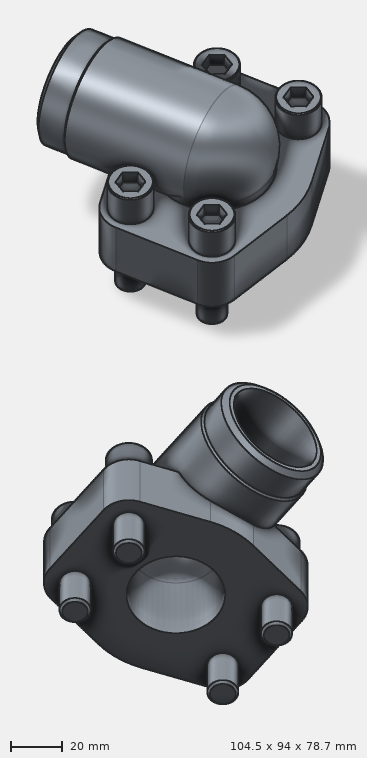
import cadquery as cq
import math


overall_length = 104.5
overall_height = 78.7

flange_length = 77.0
flange_thickness = 25.0
corner_radius = 12.0
screw_spacing_x = 35.7
screw_spacing_y = 70.0
screw_x = screw_spacing_x / 2
screw_y = screw_spacing_y / 2
nose_radius = flange_length / 2

pipe_diameter = 50.3
spigot_diameter = 48.3
spigot_length = 13.2
shoulder_length = 0.8
weld_face_diameter = 43.2
weld_bevel_length = 2.0
neck_diameter = 48.3
pipe_bore_diameter = 39.3
neck_bore_diameter = 38.0
pipe_axis_height = 36.0
pipe_radius = pipe_diameter / 2
spigot_radius = spigot_diameter / 2
pipe_end_x = nose_radius - overall_length

head_diameter = 18.0
head_height = 14.5
head_chamfer_height = 0.6
head_chamfer_width = 0.4
shank_diameter = 12.0
shank_chamfer = 1.0
socket_across_flats = 10.0
socket_depth = 6.0
socket_across_corners = socket_across_flats / math.cos(math.radians(30))
screw_bottom = pipe_axis_height + pipe_radius - overall_height
screw_top = flange_thickness + head_height


def make_flange():
    centre_distance = math.hypot(screw_x, screw_y)
    centre_angle = math.atan2(screw_y, screw_x)
    normal_angle = centre_angle - math.acos((nose_radius - corner_radius) / centre_distance)
    corner_mid_angle = (normal_angle + math.pi / 2) / 2

    def on_corner(angle, side_x, side_y):
        x = screw_x + corner_radius * math.cos(angle)
        y = screw_y + corner_radius * math.sin(angle)
        return side_x * x, side_y * y

    def on_nose(side_x, side_y):
        x = nose_radius * math.cos(normal_angle)
        y = nose_radius * math.sin(normal_angle)
        return side_x * x, side_y * y

    outline = cq.Workplane("XY").moveTo(*on_nose(1, -1))
    for side in (1, -1):
        outline = (
            outline.threePointArc((side * nose_radius, 0), on_nose(side, side))
            .lineTo(*on_corner(normal_angle, side, side))
            .threePointArc(
                on_corner(corner_mid_angle, side, side),
                on_corner(math.pi / 2, side, side),
            )
            .lineTo(*on_corner(math.pi / 2, -side, side))
            .threePointArc(
                on_corner(corner_mid_angle, -side, side),
                on_corner(normal_angle, -side, side),
            )
            .lineTo(*on_nose(-side, side))
        )
    return outline.close().extrude(flange_thickness)


def make_pipe():
    spigot_end_x = pipe_end_x + spigot_length
    quarter = pipe_radius * math.sqrt(0.5)
    profile = (
        cq.Workplane("XZ")
        .moveTo(pipe_end_x, 0)
        .lineTo(pipe_end_x, weld_face_diameter / 2)
        .lineTo(pipe_end_x + weld_bevel_length, spigot_radius)
        .lineTo(spigot_end_x, spigot_radius)
        .lineTo(spigot_end_x + shoulder_length, pipe_radius)
        .lineTo(0, pipe_radius)
        .threePointArc((quarter, quarter), (pipe_radius, 0))
        .close()
    )
    pipe = profile.revolve(360, (0, 0, 0), (1, 0, 0))
    return pipe.translate((0, 0, pipe_axis_height))


def make_neck():
    return cq.Workplane("XY").circle(neck_diameter / 2).extrude(pipe_axis_height)


def make_passage():
    horizontal = (
        cq.Workplane("YZ", origin=(pipe_end_x, 0, pipe_axis_height))
        .circle(pipe_bore_diameter / 2)
        .extrude(-pipe_end_x)
    )
    bend = cq.Workplane("XY").sphere(pipe_bore_diameter / 2).translate((0, 0, pipe_axis_height))
    vertical = cq.Workplane("XY").circle(neck_bore_diameter / 2).extrude(pipe_axis_height)
    return horizontal.union(bend).union(vertical)


def make_screw():
    head_radius = head_diameter / 2
    shank_radius = shank_diameter / 2
    profile = (
        cq.Workplane("XZ")
        .moveTo(0, screw_bottom)
        .lineTo(shank_radius - shank_chamfer, screw_bottom)
        .lineTo(shank_radius, screw_bottom + shank_chamfer)
        .lineTo(shank_radius, flange_thickness)
        .lineTo(head_radius, flange_thickness)
        .lineTo(head_radius, screw_top - head_chamfer_height)
        .lineTo(head_radius - head_chamfer_width, screw_top)
        .lineTo(0, screw_top)
        .close()
    )
    screw = profile.revolve(360, (0, 0, 0), (0, 1, 0))
    socket = (
        cq.Workplane("XY", origin=(0, 0, screw_top))
        .transformed(rotate=(0, 0, 90))
        .polygon(6, socket_across_corners)
        .extrude(-socket_depth)
    )
    return screw.cut(socket)


body = make_flange().union(make_neck()).union(make_pipe()).cut(make_passage())

screw = make_screw()
for x in (-screw_x, screw_x):
    for y in (-screw_y, screw_y):
        body = body.union(screw.translate((x, y, 0)))

result = body